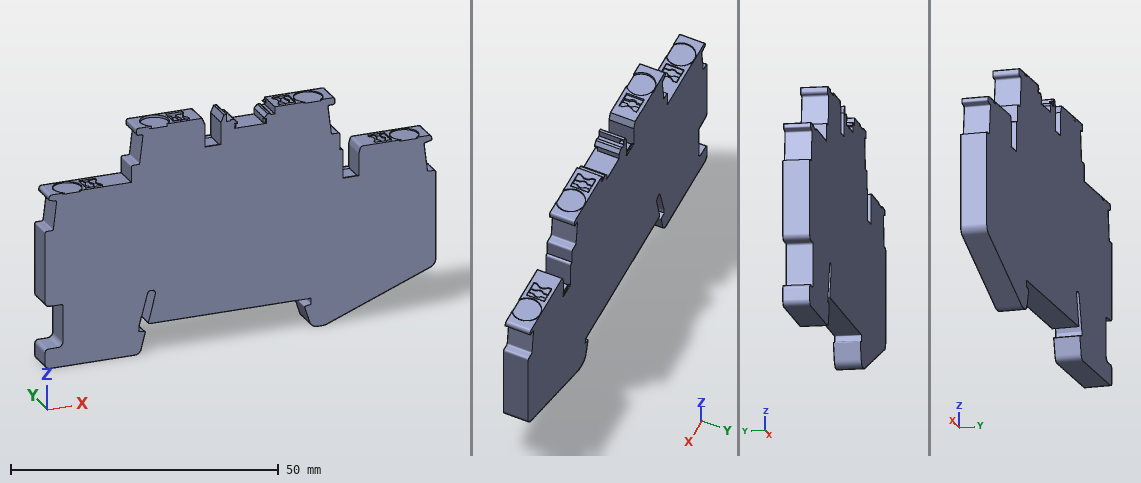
import cadquery as cq
import math

LENGTH = 78.8
THICKNESS = 5.1
HEIGHT = 45.9

SHOULDER_Z = 27.9
LOWER_TOP_Z = 35.15
UPPER_SHOULDER_Z = 38.5
HEAD_DEPTH = 1.4
LOWER_NECK_Z = LOWER_TOP_Z - HEAD_DEPTH
UPPER_NECK_Z = HEIGHT - HEAD_DEPTH
RAIL_Z = 5.9
HOOK_Z = 4.7

UPPER_SLOT_LEFT = 32.3
UPPER_SLOT_RIGHT = 35.45
UPPER_SLOT_FLOOR = 39.95
LOWER_SLOT_LEFT = 60.1
LOWER_SLOT_RIGHT = 63.3
LOWER_SLOT_FLOOR = 29.2

SEAT_LEFT = 38.8
SEAT_RIGHT = 44.2
SEAT_FLOOR = 42.8
SEAT_RIM_Z = 44.0
RIDGE_Z = 44.7
SEAT_WALL_LEFT = 36.65
SEAT_WALL_RIGHT = 46.3

UNDERCUT_X = 0.5
UNDERCUT_Y = 0.6
UNDERCUT_TOP = 43.7
TAB_X = 0.5
TAB_Y = 0.7
TAB_BOTTOM = 44.9
TAB_TOP = 45.5

GROOVE_DEPTH = 0.3
GROOVE_RIM = 0.2
GROOVE_SLOPE = 0.3

DISC_RADIUS = 2.75
DISC_Y = 2.3
WINDOW_LENGTH = 3.3
WINDOW_WIDTH = 3.6
WAIST_DEPTH = 0.55
WAIST_OUTER = 2.4
WAIST_INNER = 0.8
KEY_OFFSET = 1.4
KEY_RADIUS = 0.9
KEY_BAR_WIDTH = 0.95
RECESS_DEPTH = 0.2
DEEP_RECESS_DEPTH = 0.5

TERMINALS = [
    (5.4, 8.6, 1, LOWER_TOP_Z, RECESS_DEPTH),
    (23.0, 26.2, 1, HEIGHT, DEEP_RECESS_DEPTH),
    (54.0, 50.8, -1, HEIGHT, RECESS_DEPTH),
    (73.4, 70.2, -1, LOWER_TOP_Z, RECESS_DEPTH),
]

OUTLINE_START = (0, 19.7)

OUTLINE = [
    (0, SHOULDER_Z, 0.4),
    (1.65, SHOULDER_Z, 0.3),
    (2.4, LOWER_NECK_Z, 0.2),
    (0.8, 34.1, 0.2),
    (0.9, LOWER_TOP_Z, 0.6),
    (17.4, LOWER_TOP_Z, 0),
    (17.4, UPPER_SHOULDER_Z, 0.4),
    (19.1, UPPER_SHOULDER_Z, 0.3),
    (19.8, UPPER_NECK_Z, 0.3),
    (18.4, UPPER_NECK_Z, 0.5),
    (18.4, HEIGHT, 0.5),
    (31.7, HEIGHT, 0),
    (UPPER_SLOT_LEFT, UPPER_NECK_Z, 0),
    (UPPER_SLOT_LEFT, UPPER_SLOT_FLOOR, 0),
    (UPPER_SLOT_RIGHT, UPPER_SLOT_FLOOR, 0),
    (UPPER_SLOT_RIGHT, UPPER_NECK_Z, 0),
    (36.1, HEIGHT, 0),
    (SEAT_WALL_LEFT, HEIGHT, 0),
    (SEAT_WALL_LEFT, UPPER_NECK_Z, 0),
    (37.35, UPPER_NECK_Z, 0.15),
    (37.5, RIDGE_Z, 0.15),
    (38.05, RIDGE_Z, 0),
    (SEAT_LEFT, SEAT_RIM_Z, 0),
    (SEAT_LEFT, SEAT_FLOOR, 0),
    (SEAT_RIGHT, SEAT_FLOOR, 0),
    (SEAT_RIGHT, SEAT_RIM_Z, 0),
    (44.9, RIDGE_Z, 0),
    (45.5, RIDGE_Z, 0),
    (45.55, UPPER_NECK_Z, 0),
    (SEAT_WALL_RIGHT, UPPER_NECK_Z, 0),
    (SEAT_WALL_RIGHT, HEIGHT, 0),
    (58.5, HEIGHT, 0.5),
    (58.5, UPPER_NECK_Z, 0.5),
    (57.05, UPPER_NECK_Z, 0.3),
    (57.75, UPPER_SHOULDER_Z, 0.3),
    (59.5, UPPER_SHOULDER_Z, 0.4),
    (59.5, LOWER_TOP_Z, 0),
    (LOWER_SLOT_LEFT, LOWER_TOP_Z, 0.4),
    (LOWER_SLOT_LEFT, LOWER_SLOT_FLOOR, 0),
    (LOWER_SLOT_RIGHT, LOWER_SLOT_FLOOR, 0),
    (LOWER_SLOT_RIGHT, LOWER_NECK_Z, 0),
    (63.7, LOWER_TOP_Z, 0.6),
    (77.9, LOWER_TOP_Z, 0.6),
    (78.0, 34.1, 0.2),
    (76.4, LOWER_NECK_Z, 0.2),
    (77.15, SHOULDER_Z, 0.3),
    (LENGTH, SHOULDER_Z, 0.4),
    (LENGTH, 8.8, 1.7),
    (56.4, 0, 2.4),
    (53.75, 0, 1.6),
    (52.3, 4.4, 0.15),
    (53.7, HOOK_Z, 0.2),
    (53.7, RAIL_Z, 0.15),
    (20.8, RAIL_Z, 0.2),
    (22.45, 12.6, 0.7),
    (20.8, 12.6, 0.7),
    (18.9, 5.5, 0.2),
    (18.9, HOOK_Z, 0),
    (20.25, 4.4, 0.15),
    (19.15, 0, 1.35),
    (0, 0, 1.0),
    (0, 4.0, 0.8),
    (3.6, 4.0, 1.0),
    (3.6, 12.6, 0.4),
    (0, 12.6, 0.95),
]


def corner_arc(before, corner, after):
    """Start, middle and end of the arc that rounds one corner."""
    x, z, radius = corner
    back = math.atan2(before[1] - z, before[0] - x)
    ahead = math.atan2(after[1] - z, after[0] - x)
    turn = math.remainder(ahead - back, 2 * math.pi)
    half = abs(turn) / 2
    bisector = back + turn / 2
    tangent = radius / math.tan(half)
    middle = radius / math.sin(half) - radius

    def along(angle, distance):
        return (x + distance * math.cos(angle), z + distance * math.sin(angle))

    return along(back, tangent), along(bisector, middle), along(ahead, tangent)


def make_plate():
    """Plate with the full outline, front face at Y = 0."""
    path = cq.Workplane("XZ").moveTo(*OUTLINE_START)
    for index, corner in enumerate(OUTLINE):
        x, z, radius = corner
        if radius == 0:
            path = path.lineTo(x, z)
        else:
            after = OUTLINE[(index + 1) % len(OUTLINE)]
            start, middle, end = corner_arc(OUTLINE[index - 1], corner, after)
            path = path.lineTo(*start).threePointArc(middle, end)
    return path.close().extrude(-THICKNESS)


def block(x_min, x_max, y_min, y_max, z_min, z_max):
    size = (x_max - x_min, y_max - y_min, z_max - z_min)
    return cq.Workplane("XY").box(*size, centered=False).translate((x_min, y_min, z_min))


def slot_groove(left, right, floor):
    """Shallow groove with sloped sides along a slot floor."""
    top_edge = GROOVE_RIM
    bottom_edge = GROOVE_RIM + GROOVE_SLOPE
    bottom = floor - GROOVE_DEPTH
    section = [
        (top_edge, floor),
        (bottom_edge, bottom),
        (THICKNESS - bottom_edge, bottom),
        (THICKNESS - top_edge, floor),
    ]
    return cq.Workplane("YZ", origin=(left, 0, 0)).polyline(section).close().extrude(right - left)


def seat_tab(wall, direction):
    """Wedge at the back of the seat, pointing from a wall into the seat opening."""
    tip = wall + direction * TAB_X
    section = [(wall, TAB_BOTTOM), (tip, (TAB_BOTTOM + TAB_TOP) / 2), (wall, TAB_TOP)]
    wedge = cq.Workplane("XZ", origin=(0, THICKNESS, 0)).polyline(section).close()
    return wedge.extrude(TAB_Y)


def terminal_recesses(disc_x, window_x, direction, top, depth):
    """Round recess, waisted window and the deeper keyhole inside the window."""
    middle = THICKNESS / 2
    half_width = WINDOW_WIDTH / 2
    far_x = window_x + direction * WINDOW_LENGTH
    waist_x = far_x - direction * WAIST_DEPTH
    disc = cq.Workplane("XY", origin=(disc_x, DISC_Y, top)).circle(DISC_RADIUS).extrude(-depth)
    window_outline = [
        (window_x, middle - half_width),
        (far_x, middle - half_width),
        (far_x, middle - WAIST_OUTER / 2),
        (waist_x, middle - WAIST_INNER / 2),
        (waist_x, middle + WAIST_INNER / 2),
        (far_x, middle + WAIST_OUTER / 2),
        (far_x, middle + half_width),
        (window_x, middle + half_width),
    ]
    window = cq.Workplane("XY", origin=(0, 0, top)).polyline(window_outline).close().extrude(-depth)
    key_plane = cq.Workplane("XY", origin=(window_x + direction * KEY_OFFSET, middle, top))
    keyhole = key_plane.circle(KEY_RADIUS).extrude(-2 * depth)
    keyhole = keyhole.union(key_plane.rect(KEY_BAR_WIDTH, WINDOW_WIDTH).extrude(-2 * depth))
    return disc.union(window).union(keyhole)


result = make_plate()

for slot in [
    (UPPER_SLOT_LEFT, UPPER_SLOT_RIGHT, UPPER_SLOT_FLOOR),
    (LOWER_SLOT_LEFT, LOWER_SLOT_RIGHT, LOWER_SLOT_FLOOR),
]:
    result = result.cut(slot_groove(*slot))

undercut_left = SEAT_LEFT - UNDERCUT_X
undercut_right = SEAT_RIGHT + UNDERCUT_X
result = result.cut(block(undercut_left, undercut_right, 0, UNDERCUT_Y, SEAT_FLOOR, UNDERCUT_TOP))
result = result.union(seat_tab(SEAT_WALL_LEFT, 1)).union(seat_tab(SEAT_WALL_RIGHT, -1))

for terminal in TERMINALS:
    result = result.cut(terminal_recesses(*terminal))